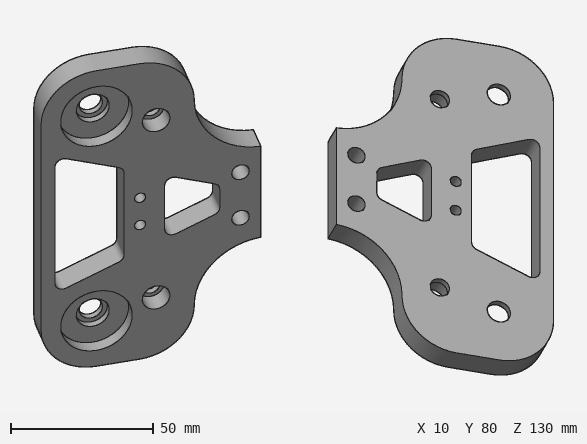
import cadquery as cq

thickness = 10.0
plate_height = 130.0
plate_width = 80.0
body_width = 55.8
corner_radius = 20.0
neck_radius = 25.0

window_fillet = 3.0
large_window = {"y_wide": 5.1, "y_narrow": 30.2, "wide_half": 30.0, "narrow_half": 20.0}
small_window = {"y_wide": 45.0, "y_narrow": 65.0, "wide_half": 14.0, "narrow_half": 6.0}

neck_hole_diameter = 6.4
neck_hole_y = 72.5
neck_hole_z = 10.0
pin_hole_diameter = 4.0
pin_hole_y = 36.0
pin_hole_z = 6.0
inner_bolt_diameter = 7.0
inner_bolt_head_diameter = 10.0
inner_bolt_y = 41.9
inner_bolt_z = 39.0
outer_bolt_diameter = 8.5
outer_bolt_head_diameter = 12.0
outer_bolt_y = 20.2
corner_center_z = plate_height / 2 - corner_radius
outer_bolt_z = corner_center_z
head_recess_depth = 7.5
wide_pocket_diameter = 26.0
wide_pocket_depth = 5.0


def make_body():
    """Rounded rectangular body, with its long straight edge at Y = 0."""
    return (
        cq.Workplane("YZ")
        .center(body_width / 2, 0)
        .rect(body_width, plate_height)
        .extrude(thickness)
        .edges("|X")
        .fillet(corner_radius)
    )


def make_neck():
    """Neck that flares into the body through two concave arcs."""
    neck_length = plate_width - body_width
    neck = (
        cq.Workplane("YZ")
        .center(body_width + neck_length / 2, 0)
        .rect(neck_length, 2 * corner_center_z)
        .extrude(thickness)
    )
    scoops = (
        cq.Workplane("YZ")
        .pushPoints([(body_width + neck_radius, side * corner_center_z) for side in (1, -1)])
        .circle(neck_radius)
        .extrude(thickness)
    )
    return neck.cut(scoops)


def make_window(y_wide, y_narrow, wide_half, narrow_half):
    """Trapezoidal through cutter with rounded corners, tapering toward the neck."""
    return (
        cq.Workplane("YZ")
        .polyline([
            (y_wide, -wide_half),
            (y_narrow, -narrow_half),
            (y_narrow, narrow_half),
            (y_wide, wide_half),
        ])
        .close()
        .extrude(thickness)
        .edges("|X")
        .fillet(window_fillet)
    )


def make_hole_pair(y, z, diameter, start=0.0):
    """Two mirrored cylinders running from X = start to the +X face."""
    return (
        cq.Workplane("YZ", origin=(start, 0, 0))
        .pushPoints([(y, z), (y, -z)])
        .circle(diameter / 2)
        .extrude(thickness - start)
    )


result = make_body().union(make_neck())

for window in (large_window, small_window):
    result = result.cut(make_window(**window))

for y, z, diameter in (
    (neck_hole_y, neck_hole_z, neck_hole_diameter),
    (pin_hole_y, pin_hole_z, pin_hole_diameter),
    (inner_bolt_y, inner_bolt_z, inner_bolt_diameter),
    (outer_bolt_y, outer_bolt_z, outer_bolt_diameter),
):
    result = result.cut(make_hole_pair(y, z, diameter))

for y, z, diameter, depth in (
    (inner_bolt_y, inner_bolt_z, inner_bolt_head_diameter, head_recess_depth),
    (outer_bolt_y, outer_bolt_z, outer_bolt_head_diameter, head_recess_depth),
    (outer_bolt_y, outer_bolt_z, wide_pocket_diameter, wide_pocket_depth),
):
    result = result.cut(make_hole_pair(y, z, diameter, thickness - depth))